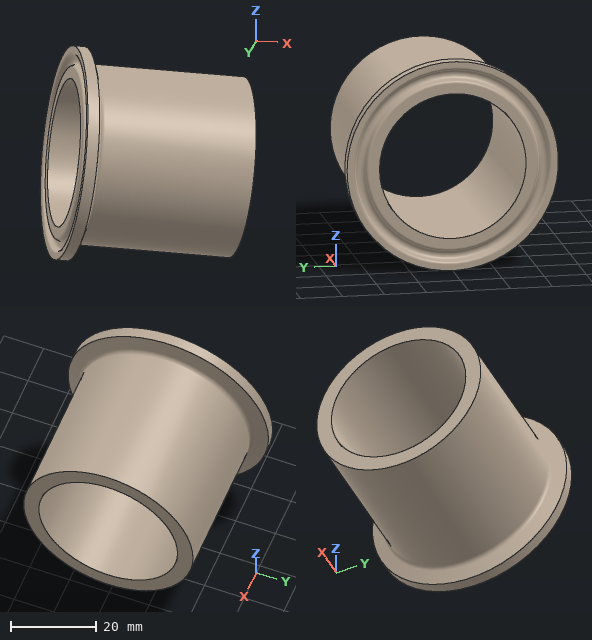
import cadquery as cq
import math

length = 41.25
flange_diameter = 50.4
tube_diameter = 42.6
bore_diameter = 34.8

rim_thickness = 2.8
taper_angle = math.radians(20)
neck_fillet = 1.2

groove_mid_radius = 21.8
groove_half_width = 1.95
groove_floor_radius = 1.2
groove_lip_radius = 0.75
flank_angle = math.radians(70)

flange_radius = flange_diameter / 2
tube_radius = tube_diameter / 2
bore_radius = bore_diameter / 2


def point_on_arc(center, radius, angle):
    """Point at an angle measured from +X toward the radial direction."""
    return (center[0] + radius * math.cos(angle), center[1] + radius * math.sin(angle))


def revolve_about_x(profile):
    """Full turn about the X axis of a profile drawn as (axial, radial) points."""
    return profile.close().revolve(360, (0, 0, 0), (1, 0, 0))


def make_body():
    """Flanged tube whose taper meets the tube in a tangent fillet."""
    taper_end_radius = tube_radius + neck_fillet * (1 - math.sin(taper_angle))
    taper_end_x = rim_thickness + (flange_radius - taper_end_radius) * math.tan(taper_angle)
    fillet_center = (taper_end_x + neck_fillet * math.cos(taper_angle), tube_radius + neck_fillet)
    start_angle = math.pi + taper_angle
    end_angle = 1.5 * math.pi
    fillet_middle = point_on_arc(fillet_center, neck_fillet, (start_angle + end_angle) / 2)

    profile = (
        cq.Workplane("XY")
        .moveTo(0, bore_radius)
        .lineTo(0, flange_radius)
        .lineTo(rim_thickness, flange_radius)
        .lineTo(taper_end_x, taper_end_radius)
        .threePointArc(fillet_middle, (fillet_center[0], tube_radius))
        .lineTo(length, tube_radius)
        .lineTo(length, bore_radius)
    )
    return revolve_about_x(profile)


def make_groove():
    """Ring with a round floor, straight flanks and rounded lips, symmetric about its middle."""
    lip_offset = groove_half_width - groove_lip_radius * math.sin(flank_angle)
    lip_depth = groove_lip_radius * (1 - math.cos(flank_angle))
    floor_offset = groove_floor_radius * math.sin(flank_angle)
    floor_edge_depth = lip_depth + (lip_offset - floor_offset) * math.tan(flank_angle)
    groove_depth = floor_edge_depth + groove_floor_radius * (1 - math.cos(flank_angle))
    lip_middle_offset = groove_half_width - groove_lip_radius * math.sin(flank_angle / 2)
    lip_middle_depth = groove_lip_radius * (1 - math.cos(flank_angle / 2))

    def at(depth, offset):
        return (depth, groove_mid_radius + offset)

    profile = (
        cq.Workplane("XY")
        .moveTo(*at(0, groove_half_width))
        .threePointArc(at(lip_middle_depth, lip_middle_offset), at(lip_depth, lip_offset))
        .lineTo(*at(floor_edge_depth, floor_offset))
        .threePointArc(at(groove_depth, 0), at(floor_edge_depth, -floor_offset))
        .lineTo(*at(lip_depth, -lip_offset))
        .threePointArc(at(lip_middle_depth, -lip_middle_offset), at(0, -groove_half_width))
    )
    return revolve_about_x(profile)


result = make_body().cut(make_groove())